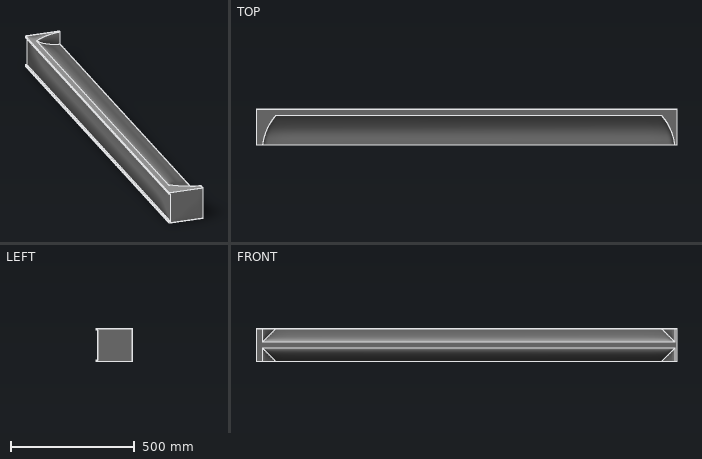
import cadquery as cq
import math

length = 1698.62
depth = 146.05
height = 133.35

left_wall = 25.4
right_wall = 9.525
back_wall = 25.4
web = 25.4

lip_height = 6.35
recess_depth = 6.35

flare_radius = 220
pocket_depth = depth - back_wall
flare = (height - web) / 2
chord = math.hypot(pocket_depth, flare)
bow = flare_radius - math.sqrt(flare_radius**2 - (chord / 2) ** 2)

flare_mid_depth = pocket_depth / 2 + bow * flare / chord
flare_mid_rise = flare / 2 - bow * pocket_depth / chord


def make_body():
    """Solid block with its front face on Y = 0, centred on X and Z."""
    return cq.Workplane("XY").box(length, depth, height, centered=(True, False, True))


def make_pocket():
    """Pocket above the web: its plan outline cut to the curved floor of its cross-section."""
    left = -length / 2 + left_wall
    right = length / 2 - right_wall
    plan = (
        cq.Workplane("XY")
        .moveTo(left, 0)
        .lineTo(right, 0)
        .threePointArc((right - flare_mid_rise, flare_mid_depth), (right - flare, pocket_depth))
        .lineTo(left + flare, pocket_depth)
        .threePointArc((left + flare_mid_rise, flare_mid_depth), (left, 0))
        .close()
        .extrude(height / 2)
    )
    section = (
        cq.Workplane("YZ")
        .moveTo(0, web / 2)
        .threePointArc((flare_mid_depth, web / 2 + flare_mid_rise), (pocket_depth, height / 2))
        .lineTo(0, height / 2)
        .close()
        .extrude(length / 2, both=True)
    )
    return plan.intersect(section)


def make_recess():
    """Full-length strip removed from the back face between the two lips."""
    recess_height = height - 2 * lip_height
    strip = cq.Workplane("XY").box(length, recess_depth, recess_height, centered=(True, False, True))
    return strip.translate((0, depth - recess_depth, 0))


upper_pocket = make_pocket()
lower_pocket = upper_pocket.mirror("XY")
result = make_body().cut(upper_pocket).cut(lower_pocket).cut(make_recess())